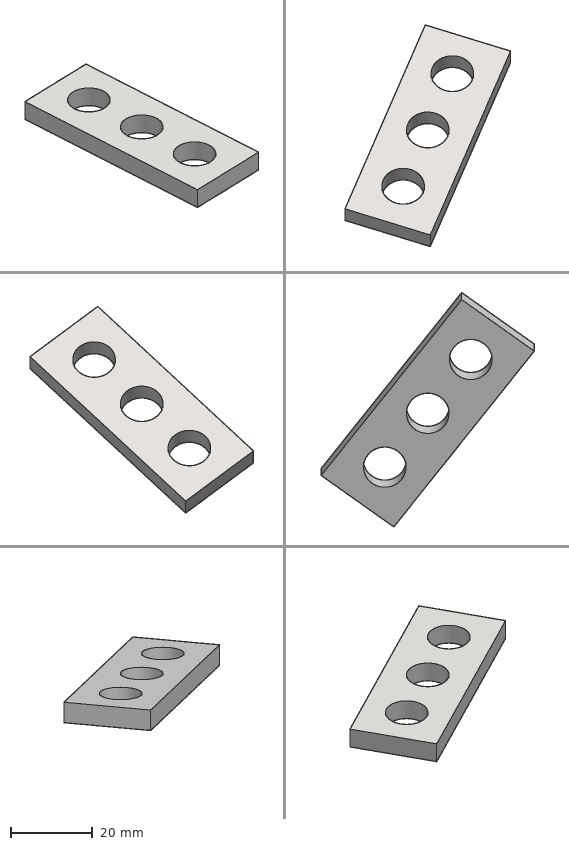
import cadquery as cq

length = 57.15
width = 22.25
thickness = 5.25

hole_diameter = 10.4
hole_spacing = 17.5
hole_count = 3

plate = cq.Workplane("XY").box(length, width, thickness)

result = (
    plate.faces(">Z")
    .workplane()
    .rarray(hole_spacing, width, hole_count, 1)
    .hole(hole_diameter)
)